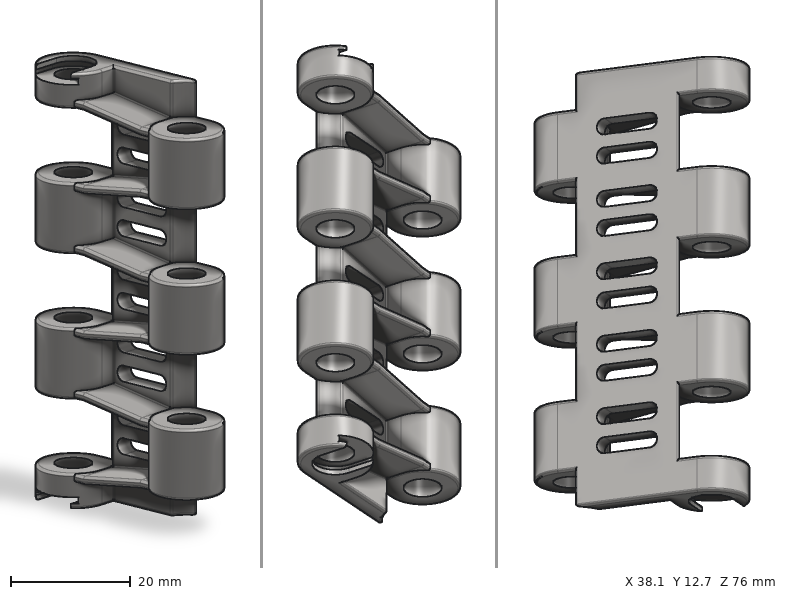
import cadquery as cq

length = 76.0
bay_count = 6
pitch = length / bay_count
barrel_gap = 0.26
barrel_length = pitch - barrel_gap
barrel_diameter = 12.7
barrel_radius = barrel_diameter / 2
pin_offset = barrel_diameter
bore_radius = 3.2

plate_back = barrel_radius
plate_front = 3.0
scoop_radius = 6.8
scoop_back_round = 0.28

web_thickness = 1.45
web_front = -4.6
web_bend = barrel_radius
web_end = 8.35
web_recess = 0.1

edge_round = 0.495
root_round = 0.25

overlap = 0.75

window_length = 10.95
window_height = 2.8
window_spacing = 5.1

mouth_half_width = 3.9
head_half_width = 4.8
lip_depth = 0.9
pocket_depth = 2.05


def box(x0, x1, y0, y1, z0, z1):
    """Axis-aligned box given by its limits."""
    return cq.Workplane("XY").box(x1 - x0, y1 - y0, z1 - z0, centered=False).translate((x0, y0, z0))


def cylinder(x, radius, z0, z1):
    """Upright cylinder on the line y = 0."""
    return cq.Workplane("XY").workplane(offset=z0).center(x, 0).circle(radius).extrude(z1 - z0)


def make_plate():
    """Full-length plate whose two long ends are hollowed to clear the mating barrels."""
    plate = box(-pin_offset, pin_offset, plate_front, plate_back, 0, length)
    for side in (-1, 1):
        plate = plate.cut(cylinder(side * pin_offset, scoop_radius, 0, length))
    plate = plate.edges("|Z").edges("<Y").fillet(edge_round)
    return plate.edges("|Z").edges(">Y").fillet(scoop_back_round)


def barrel_side(k):
    """Even barrels sit on the -X pin axis, odd ones on the +X pin axis."""
    return -1 if k % 2 == 0 else 1


def make_barrel(side, z0, z1):
    """Barrel with a square shoulder that runs back into the plate.

    Its ends are rounded, except where they lie in an end face of the strip.
    """
    axis = side * pin_offset
    wall = side * barrel_radius
    barrel = cylinder(axis, barrel_radius, z0, z1)
    x0, x1 = sorted((axis, wall))
    barrel = barrel.union(box(x0, x1, 0, plate_back, z0, z1)).clean()
    if z0 > 0:
        barrel = barrel.faces("<Z").edges().fillet(edge_round)
    if z1 < length:
        barrel = barrel.faces(">Z").edges().fillet(edge_round)
    x0, x1 = sorted((wall - side * overlap, wall + side * overlap))
    return barrel.union(box(x0, x1, plate_front, plate_back, z0, z1))


def make_web(k):
    """Sloping web from barrel k below to barrel k + 1 above, on the opposite side."""
    slope = -barrel_side(k)
    rise = slope * (barrel_gap + web_thickness) / 2 + slope * web_recess
    z = (k + 0.5) * pitch
    path = [(-web_end, -rise), (-web_bend, -rise), (web_bend, rise), (web_end, rise)]
    top = [(x, z + dz + web_thickness / 2) for x, dz in path]
    bottom = [(x, z + dz - web_thickness / 2) for x, dz in reversed(path)]
    web = cq.Workplane("XZ", origin=(0, plate_front, 0)).polyline(top + bottom).close()
    web = web.extrude(plate_front - web_front)
    return web.faces("<Y").edges("not |Z").fillet(edge_round)


def make_pocket(k):
    """Space in front of the plate between the webs above and below barrel k, with rounded far edges."""
    side = barrel_side(k)
    wall = side * web_bend
    open_end = -side * pin_offset
    drop = barrel_gap / 2 + web_recess + web_thickness
    z = k * pitch
    half_at_wall = pitch / 2 - drop
    half_at_open = pitch / 2 + barrel_gap / 2 + web_recess
    slope = (half_at_open - half_at_wall) / (2 * web_bend)
    half_at_end = half_at_wall + slope * (pin_offset + web_bend)
    outline = [
        (wall, z - half_at_wall),
        (wall, z + half_at_wall),
        (open_end, z + half_at_end),
        (open_end, z - half_at_end),
    ]
    pocket = cq.Workplane("XZ", origin=(0, plate_front, 0)).polyline(outline).close()
    pocket = pocket.extrude(plate_front - web_front)
    return pocket.faces(">Y").edges().fillet(root_round)


def make_root_rounds():
    """Rounded inside corners between the plate and the webs and barrel shoulders."""
    z0 = edge_round
    z1 = length - edge_round
    rounds = box(-web_bend, web_bend, plate_front - root_round, plate_front, z0, z1)
    for k in range(bay_count + 1):
        rounds = rounds.cut(make_pocket(k))
    return rounds


def cut_bolt_pocket(body, z_outer, inward):
    """Stepped pocket, open toward -Y, in the end face of the half barrel at z_outer."""
    steps = [(mouth_half_width, 0, lip_depth), (head_half_width, lip_depth, pocket_depth)]
    for half_width, z_near, z_far in steps:
        z0, z1 = sorted((z_outer + inward * z_near, z_outer + inward * z_far))
        body = body.cut(cylinder(-pin_offset, half_width, z0, z1))
        x0 = -pin_offset - half_width
        x1 = -pin_offset + half_width
        body = body.cut(box(x0, x1, -barrel_radius - overlap, 0, z0, z1))
    return body


def make_window(z):
    """Round-ended opening through the plate, long in X."""
    window = cq.Workplane("XZ", origin=(0, plate_back + overlap, z)).slot2D(window_length, window_height)
    return window.extrude(plate_back - plate_front + 2 * overlap)


body = make_plate()
for k in range(bay_count + 1):
    z0 = max(0, k * pitch - barrel_length / 2)
    z1 = min(length, k * pitch + barrel_length / 2)
    body = body.union(make_barrel(barrel_side(k), z0, z1))
body = body.faces("<Z or >Z").edges().fillet(edge_round)

for k in range(bay_count):
    body = body.union(make_web(k))
body = body.union(make_root_rounds())

for side in (-1, 1):
    body = body.cut(cylinder(side * pin_offset, bore_radius, 0, length))

for k in range(1, bay_count):
    for offset in (-window_spacing / 2, window_spacing / 2):
        body = body.cut(make_window(k * pitch + offset))

body = cut_bolt_pocket(body, 0, 1)
body = cut_bolt_pocket(body, length, -1)

result = body